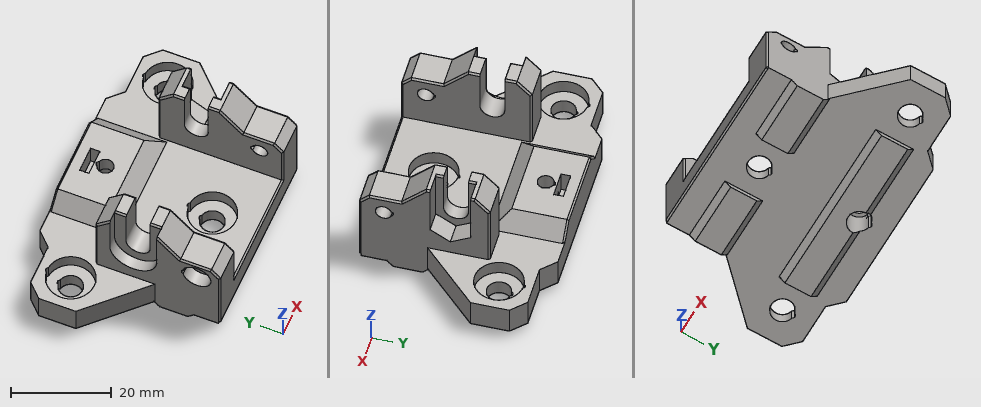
import cadquery as cq
import math


overall_width = 64.0
depth = 40.0
body_width = 40.0
plate_thick = 6.2
ear_back = 37.0
ear_front = 14.0
corner_cut = 3.0
bevel = 0.4

screw_dia = 5.05
screw_head_dia = 10.05
screw_head_depth = 3.0
ear_hole_x = 25.0
ear_hole_y = 30.0
front_hole_y = 10.0
relief_rise = 0.3
relief_flat = 0.4

arm_thick = 7.5
arm_back = 26.8
arm_top = 23.05
shoulder_top = 18.0
axle_y = 18.7
axle_z = 14.1
crest_width = 10.05
back_cut = arm_back - axle_y - crest_width / 2
front_cut = 2.0

axle_slot_width = 5.1
head_recess_depth = 2.5
nut_width = 8.3
nut_recess_depth = 4.4
cross_dia = 3.3
cross_head_dia = 6.0
cross_head_depth = 3.0
cross_y = 5.0

block_width = 24.1
block_top = 9.65
block_front = 24.8
sensor_hole_y = 32.95
sensor_hole_dia = 3.3
sensor_slot = (5.6, 2.0)
sensor_slot_y = 36.35
sensor_slot_floor = 5.1

rail_height = 1.35
rail_flat = 6.0
rail_clearance = 6.1

half_body = body_width / 2
half_gap = half_body - arm_thick


def relieved_hole(plane, diameter, length):
    """Round cutter with a small flat-tipped relief with 45 degree sides, toward Y of the plane."""
    radius = diameter / 2
    tip = radius + relief_rise
    root = radius - relief_rise
    half_tip = relief_flat / 2
    half_root = half_tip + tip - root
    relief = [(-half_tip, tip), (half_tip, tip), (half_root, root), (-half_root, root)]
    cutter = cq.Workplane(plane).circle(radius).extrude(length)
    return cutter.union(cq.Workplane(plane).polyline(relief).close().extrude(length))


def vertical_hole(x, y, z, diameter, height):
    """Cutter standing on (x, y, z), its relief toward +Y."""
    plane = cq.Plane(origin=(x, y, z), xDir=(1, 0, 0), normal=(0, 0, 1))
    return relieved_hole(plane, diameter, height)


def cross_hole(x, diameter, length):
    """Cutter running along +X from x, its relief toward +Y."""
    plane = cq.Plane(origin=(x, cross_y, axle_z), xDir=(0, 0, -1), normal=(1, 0, 0))
    return relieved_hole(plane, diameter, length)


def make_plate():
    half = overall_width / 2
    ear_reach = half - half_body
    right_side = [
        (half_body, bevel),
        (half_body, ear_front),
        (half, ear_front + ear_reach),
        (half, ear_back - corner_cut),
        (half - corner_cut, ear_back),
        (half_body, ear_back),
        (half_body - corner_cut, depth),
    ]
    left_side = [(-x, y) for x, y in reversed(right_side)]
    plate = cq.Workplane("XY").polyline(right_side + left_side).close().extrude(plate_thick)
    sill_width = 2 * (half_gap + bevel)
    sill = cq.Workplane("XY").box(sill_width, axle_y, plate_thick, centered=(True, False, False))
    return plate.union(sill.faces("<Y").edges("|X").chamfer(bevel))


def make_block():
    height = block_top - plate_thick
    half = block_width / 2
    profile = [(-half, plate_thick), (half, plate_thick),
               (half - height, block_top), (-half + height, block_top)]
    block = cq.Workplane("XZ").polyline(profile).close().extrude(-depth)
    block = block.faces(">Y").edges("not(<Z)").chamfer(bevel)
    front_slope = [(0, plate_thick), (block_front, plate_thick),
                   (block_front + height, block_top), (0, block_top)]
    waste = cq.Workplane("YZ").polyline(front_slope).close().extrude(half, both=True)
    return block.cut(waste)


def make_arm(x):
    """Arm with its left face at x, beveled round both side faces."""
    crest_front = axle_y - crest_width / 2
    shoulder_end = crest_front - (arm_top - shoulder_top)
    profile = [
        (bevel, 0),
        (arm_back, 0),
        (arm_back, arm_top - back_cut),
        (arm_back - back_cut, arm_top),
        (crest_front, arm_top),
        (shoulder_end, shoulder_top),
        (front_cut, shoulder_top),
        (0, shoulder_top - front_cut),
        (0, bevel),
    ]
    arm = cq.Workplane("YZ", origin=(x, 0, 0)).polyline(profile).close().extrude(arm_thick)
    return arm.faces("|X").edges("not(<Z)").chamfer(bevel)


def round_slot(x, width, length):
    """Open-topped slot with a round bottom on the axle line, running along +X from x."""
    r = width / 2
    return (
        cq.Workplane("YZ", origin=(x, axle_y, axle_z))
        .moveTo(-r, arm_top)
        .lineTo(-r, 0)
        .threePointArc((0, -r), (r, 0))
        .lineTo(r, arm_top)
        .close()
        .extrude(length)
    )


def nut_slot(x, length):
    """Open-topped slot with a hexagon bottom, running along +X from x."""
    half = nut_width / 2
    tip = nut_width / math.sqrt(3)
    outline = [(-half, arm_top), (-half, -tip / 2), (0, -tip), (half, -tip / 2), (half, arm_top)]
    return cq.Workplane("YZ", origin=(x, axle_y, axle_z)).polyline(outline).close().extrude(length)


def crest_bevel(x, inward, width):
    """Wedge that bevels the top edge of a recess floor lying at x."""
    wedge = [(x, arm_top - bevel), (x + inward * bevel, arm_top), (x, arm_top)]
    return cq.Workplane("XZ", origin=(0, axle_y, 0)).polyline(wedge).close().extrude(width / 2, both=True)


def make_rail(y, x_start, x_end):
    half_flat = rail_flat / 2
    half_root = half_flat + rail_height
    profile = [(-half_root, 0), (half_root, 0), (half_flat, -rail_height), (-half_flat, -rail_height)]
    return cq.Workplane("YZ", origin=(x_start, y, 0)).polyline(profile).close().extrude(x_end - x_start)


body = make_plate().union(make_block())
for arm_x in (-half_body, half_gap):
    body = body.union(make_arm(arm_x))

body = body.union(make_rail(front_hole_y, -half_body, -rail_clearance))
body = body.union(make_rail(front_hole_y, rail_clearance, half_body))
rear_rail_end = ear_hole_x - rail_clearance
body = body.union(make_rail(ear_hole_y, -rear_rail_end, rear_rail_end))

head_floor = -half_body + head_recess_depth
nut_floor = half_body - nut_recess_depth
body = body.cut(round_slot(-half_body, axle_slot_width, body_width))
body = body.cut(round_slot(-half_body, crest_width, head_recess_depth))
body = body.cut(crest_bevel(head_floor, 1, crest_width))
body = body.cut(nut_slot(nut_floor, nut_recess_depth))
body = body.cut(crest_bevel(nut_floor, -1, nut_width))

body = body.cut(cross_hole(-half_body, cross_dia, body_width))
body = body.cut(cross_hole(-half_body, cross_head_dia, cross_head_depth))

head_floor_z = plate_thick - screw_head_depth
for hole_x, hole_y in ((-ear_hole_x, ear_hole_y), (ear_hole_x, ear_hole_y), (0, front_hole_y)):
    body = body.cut(vertical_hole(hole_x, hole_y, -rail_height, screw_dia, arm_top))
    body = body.cut(vertical_hole(hole_x, hole_y, head_floor_z, screw_head_dia, screw_head_depth))

body = body.cut(vertical_hole(0, sensor_hole_y, -rail_height, sensor_hole_dia, arm_top))
body = body.cut(vertical_hole(0, sensor_hole_y, -rail_height, screw_dia, rail_height + plate_thick))
slot_height = block_top - sensor_slot_floor
slot = cq.Workplane("XY").box(*sensor_slot, slot_height, centered=(True, True, False))
body = body.cut(slot.translate((0, sensor_slot_y, sensor_slot_floor)))

result = body